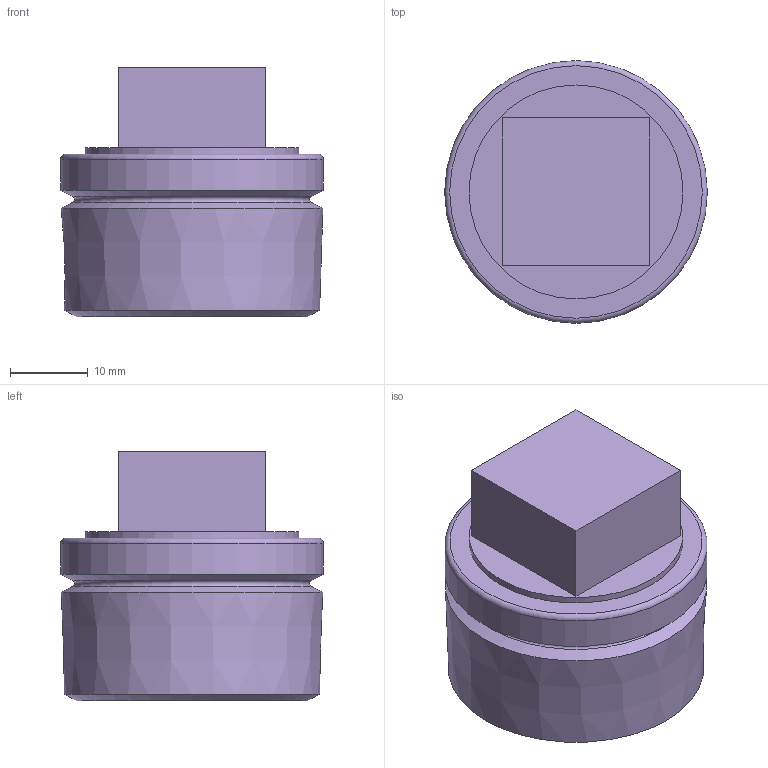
import math

import cadquery as cq

square_side = 19.0
total_height = 32.0

boss_radius = 13.75
boss_top_z = 21.7

collar_radius = 16.88
collar_top_z = 20.85
collar_fillet = 0.65

flank_angle = math.radians(27.5)
groove_root_z = 15.04
groove_root_radius = 15.1
groove_arc_radius = 0.43

body_top_radius = 16.81
taper = 1.0 / 16.0
chamfer_height = 0.8

arc_half_height = groove_arc_radius * math.cos(flank_angle)
arc_end_radius = groove_root_radius + groove_arc_radius * (1 - math.sin(flank_angle))
lower_arc_end_z = groove_root_z - arc_half_height
upper_arc_end_z = groove_root_z + arc_half_height

body_top_z = lower_arc_end_z - (body_top_radius - arc_end_radius) * math.tan(flank_angle)
collar_bottom_z = upper_arc_end_z + (collar_radius - arc_end_radius) * math.tan(flank_angle)

body_bottom_radius = body_top_radius - (body_top_z - chamfer_height) * taper / 2
base_radius = body_bottom_radius - chamfer_height / math.tan(flank_angle)


def make_round_body():
    """Revolve the half outline of the plug about the Z axis."""
    outline = (
        cq.Workplane("XZ")
        .lineTo(base_radius, 0)
        .lineTo(body_bottom_radius, chamfer_height)
        .lineTo(body_top_radius, body_top_z)
        .lineTo(arc_end_radius, lower_arc_end_z)
        .tangentArcPoint((arc_end_radius, upper_arc_end_z), relative=False)
        .lineTo(collar_radius, collar_bottom_z)
        .lineTo(collar_radius, collar_top_z - collar_fillet)
        .tangentArcPoint((collar_radius - collar_fillet, collar_top_z), relative=False)
        .lineTo(boss_radius, collar_top_z)
        .lineTo(boss_radius, boss_top_z)
        .lineTo(0, boss_top_z)
        .close()
    )
    return outline.revolve(360, (0, 0, 0), (0, 1, 0))


def make_square_head():
    """Square drive standing on the raised face."""
    return (
        cq.Workplane("XY")
        .workplane(offset=boss_top_z)
        .rect(square_side, square_side)
        .extrude(total_height - boss_top_z)
    )


result = make_round_body().union(make_square_head())